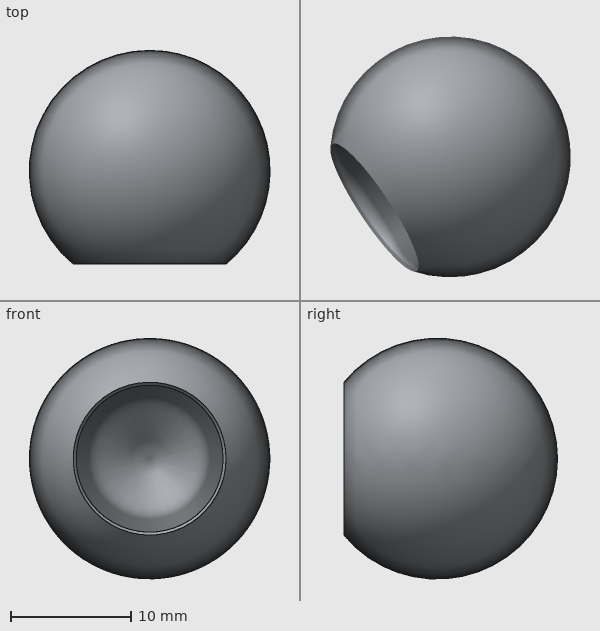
import cadquery as cq
import math

ball_radius = 10.0
mouth_offset = 7.73
bore_diameter = 12.2
bore_depth = 11.0
drill_point_angle = 118.0

bore_radius = bore_diameter / 2
mouth_radius = math.sqrt(ball_radius**2 - mouth_offset**2)
chamfer_depth = mouth_radius - bore_radius
point_depth = bore_radius / math.tan(math.radians(drill_point_angle / 2))


def make_ball():
    """Ball about the Y axis, cut flat on its -Y side."""
    return (
        cq.Workplane("XY")
        .moveTo(0, -mouth_offset)
        .lineTo(mouth_radius, -mouth_offset)
        .threePointArc((ball_radius, 0), (0, ball_radius))
        .close()
        .revolve(360, (0, 0), (0, 1))
    )


def make_bore():
    """Blind bore with a chamfered mouth and a conical bottom, as a solid to remove."""
    wall_end = bore_depth - mouth_offset
    return (
        cq.Workplane("XY")
        .moveTo(0, -mouth_offset)
        .lineTo(mouth_radius, -mouth_offset)
        .lineTo(bore_radius, -mouth_offset + chamfer_depth)
        .lineTo(bore_radius, wall_end)
        .lineTo(0, wall_end + point_depth)
        .close()
        .revolve(360, (0, 0), (0, 1))
    )


result = make_ball().cut(make_bore())